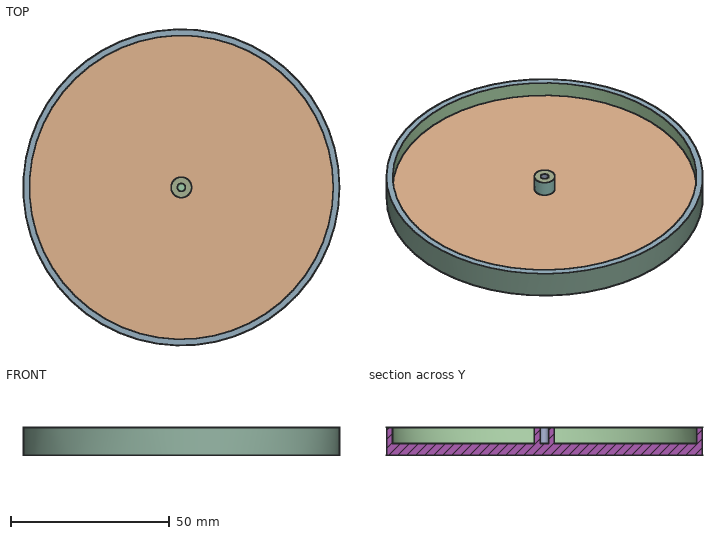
import cadquery as cq

outer_diameter = 100.0
inner_diameter = 96.0
total_height = 8.8
recess_depth = 5.0
floor_thickness = total_height - recess_depth

boss_diameter = 6.5
hole_diameter = 2.5
hole_depth = recess_depth


def disc(diameter, height, base_z):
    """Upright cylinder centred on the Z axis, starting at base_z."""
    return cq.Workplane("XY").workplane(offset=base_z).circle(diameter / 2).extrude(height)


tray = disc(outer_diameter, total_height, 0).cut(disc(inner_diameter, recess_depth, floor_thickness))
boss = disc(boss_diameter, recess_depth, floor_thickness)
boss_hole = disc(hole_diameter, hole_depth, total_height - hole_depth)

result = tray.union(boss).cut(boss_hole)